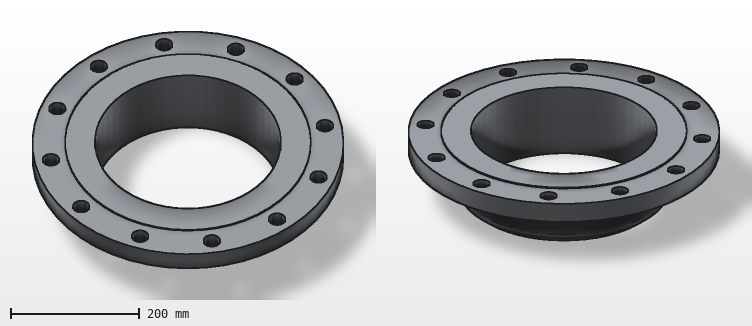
import cadquery as cq

flange_diameter = 482.5
total_height = 116.0
flange_thickness = 32.0
bore_diameter = 288.5

face_diameter = 381.3
face_height = 2.0

hub_top_diameter = 366.0
hub_end_diameter = 324.5
straight_length = 7.0
bevel_height = 12.0
bevel_width = 15.0
hub_fillet = 8.0

bolt_count = 12
bolt_circle_diameter = 431.5
bolt_hole_diameter = 25.5

flange_top = total_height - face_height
flange_bottom = flange_top - flange_thickness
bore_radius = bore_diameter / 2
hub_end_radius = hub_end_diameter / 2


def neck_body():
    """Revolve the half section of the flange and its hub about Z."""
    section = (
        cq.Workplane("XZ")
        .moveTo(bore_radius, 0)
        .lineTo(hub_end_radius - bevel_width, 0)
        .lineTo(hub_end_radius, bevel_height)
        .lineTo(hub_end_radius, bevel_height + straight_length)
        .lineTo(hub_top_diameter / 2, flange_bottom)
        .lineTo(flange_diameter / 2, flange_bottom)
        .lineTo(flange_diameter / 2, flange_top)
        .lineTo(face_diameter / 2, flange_top)
        .lineTo(face_diameter / 2, total_height)
        .lineTo(bore_radius, total_height)
        .close()
    )
    return section.revolve(360, (0, 0, 0), (0, 1, 0))


def fillet_hub_root(body):
    """Round the inside corner where the hub meets the flange underside."""
    tolerance = hub_fillet / 10
    half_size = hub_top_diameter / 2 + tolerance
    root_box = cq.selectors.BoxSelector(
        (-half_size, -half_size, flange_bottom - tolerance),
        (half_size, half_size, flange_bottom + tolerance),
        boundingbox=True,
    )
    return body.edges(root_box).fillet(hub_fillet)


def bolt_holes():
    """Cylinders through the flange, the first one on the X axis."""
    return (
        cq.Workplane("XY")
        .workplane(offset=flange_bottom)
        .polarArray(bolt_circle_diameter / 2, 0, 360, bolt_count)
        .circle(bolt_hole_diameter / 2)
        .extrude(flange_thickness)
    )


result = fillet_hub_root(neck_body()).cut(bolt_holes())